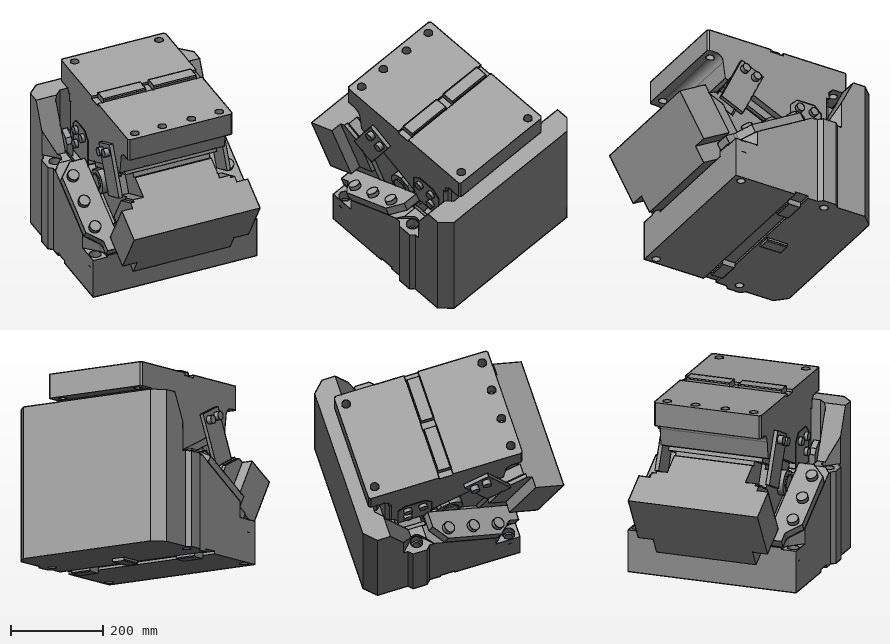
import cadquery as cq
import math


SIDES = (-1, 1)

base_length = 351.0
base_height = 336.0
base_half_width = 196.0
base_corner_chamfer = 25.0
back_wall_thickness = 55.0
shelf_start = 110.5
shelf_height = 220.5
ramp_start = 141.5
ramp_angle = 30

heel_pocket_start = 40.0
heel_pocket_end = 150.5
heel_pocket_half_width = 151.0
heel_pocket_corner = 19.0
heel_floor_height = 225.8
heel_block_end = 69.5
heel_block_half_width = 85.0
heel_block_corner = 10.5

rail_start = 94.5
rail_inner_y = 138.2
pad_start = 65.5
pad_bevel_start = 85.5
pad_end = 93.0
pad_bevel_drop = 12.5
pad_inner_y = 125.5
pad_outer_y = 139.5
pad_top = 251.5

channel_half_width = 128.5
channel_depth = 12.0

bolt_hole_radius = 9.5
bolt_bore_radius = 13.0
bolt_bore_depth = 28.0
lug_hole_x = 119.5
lug_hole_y = 180.5
lug_width = 50.0
lug_tip_width = 31.5
overall_width = 410.0
lug_reach = overall_width / 2 - base_half_width
lug_height = 212.0
lug_spot_radius = 14.0
rear_hole_x = 329.5
rear_hole_y = 181.5
rear_pocket_start = 296.0
rear_pocket_floor = 96.0
rear_pocket_inner_y = 162.0
rear_pocket_fillet = 18.5

gib_start = 12.5
gib_length = 226.5
gib_thickness = 18.5
gib_inner_y = channel_half_width
gib_outer_y = 195.0
gib_tail_y = 165.0
gib_tail_length = 24.5
gib_tail_fillet = 8.0
gib_bolt_radius = 12.5
gib_bolt_height = 10.0
gib_bolt_y = 172.0
gib_first_bolt = 36.0
gib_bolt_pitch = 65.0
gib_bolt_count = 3

key_width = 31.5
key_reach = 7.5
key_depth = 6.0
key_chamfer = 2.5
base_key_length = 50.0
base_cross_key_x = 185.3
base_cross_key_y = 140.5
base_long_key_x = 139.5
top_key_x = 205.5
top_key_y = 60.5
top_key_length = 101.0

slider_end = 288.0
slider_top = 149.0
slider_apex_s = 144.8
joint_angle = 25
slider_half_width = 109.5
rib_half_width = 116.0
shoulder_half_width = 124.7
rib_start = 164.0
rib_bevel_length = 6.0
shoulder_bottom = 29.0
shoulder_depth = 45.5
head_start = 214.0
head_half_width = 151.0
ledge_depth = 41.0
ledge_inner_y = 91.0
ledge_start = -56.0
ledge_length = 139.5
boss_x = 215.0
boss_z = 200.5
boss_radius = 28.5
boss_height = 14.5
hexagon_diameter = 38.0
hexagon_height = 3.3

pad_joint_start = -177.0
pad_joint_end = -7.0
slider_pad_half_width = 100.5
slider_pad_thickness = 10.2
holder_gap = 19.0
holder_pad_top = 30.0

holder_start = 29.0
holder_end = 380.0
holder_top = 407.5
flange_bottom = 354.0
holder_width = 250.0
holder_half_width = holder_width / 2
holder_corner_chamfer = 3.95
neck_start = 74.5
neck_chamfer = 10.2
neck_notch_x = 80.0
neck_notch_z = 327.0
heel_plate_half_width = 111.5
heel_bottom = 212.5
nose_x = 335.5
arc_end = (341.0, 335.0)
arc_middle = (347.0, 348.5)
arc_start_x = 360.5

mount_hole_radius = 9.5
mount_left_x = 49.5
mount_right_x = 360.5
mount_outer_y = 101.0
mount_inner_y = 35.0
mount_blind_depth = 37.2

side_plate_start = 94.5
side_plate_end = 171.8
side_plate_top = 297.5
side_plate_chamfer = 16.8
side_plate_thickness = 1.5
side_bolt_x = 116.0
side_bolt_z = 241.5
side_bolt_pitch = 35.0
side_bolt_end_y = 134.5
small_bolt_radius = 9.5

hook_x = 297.5
hook_z = 282.0
hook_width = 60.0
hook_length = 120.0
hook_outer_y = 133.5
hook_bolt_spacing = 30.0
hook_bolt_offset = 42.5
hook_bolt_height = 11.5

shoulder_start = rib_start + rib_bevel_length
ramp_sine = math.sin(math.radians(ramp_angle))
ramp_cosine = math.cos(math.radians(ramp_angle))
ramp_slope = math.tan(math.radians(ramp_angle))
joint_slope = math.tan(math.radians(joint_angle))
joint_cosine = math.cos(math.radians(joint_angle))
joint_sine = math.sin(math.radians(joint_angle))
apex_x = ramp_start + slider_apex_s * ramp_cosine + slider_top * ramp_sine
apex_z = shelf_height - slider_apex_s * ramp_sine + slider_top * ramp_cosine
ramp_end_height = shelf_height - (base_length - ramp_start) * ramp_slope

ramp_direction = cq.Vector(ramp_cosine, 0, -ramp_sine)
ramp_normal = cq.Vector(ramp_sine, 0, ramp_cosine)
toward_minus_y = cq.Vector(0, -1, 0)
ramp_origin = cq.Vector(ramp_start, 0, shelf_height)
joint_origin = cq.Vector(apex_x, 0, apex_z)
joint_direction = cq.Vector(joint_cosine, 0, joint_sine)

ramp_plan = cq.Plane(ramp_origin, ramp_direction, ramp_normal)
ramp_section = cq.Plane(ramp_origin, ramp_direction, toward_minus_y)
joint_section = cq.Plane(joint_origin, joint_direction, toward_minus_y)


def block(x, y, z):
    """Box between the two limits given for each axis."""
    size = (x[1] - x[0], y[1] - y[0], z[1] - z[0])
    return cq.Workplane("XY").box(*size, centered=False).translate((x[0], y[0], z[0]))


def wide_section(plane, points, half_width):
    """Closed outline of an upright section, extruded evenly to both sides."""
    return cq.Workplane(plane).polyline(points).close().extrude(half_width, both=True)


def both_sides(shape):
    """The shape together with its mirror image across the XZ plane."""
    return shape.union(shape.mirror("XZ"))


def fillet_edge_at(shape, point, radius):
    """The shape with its edge nearest to the point rounded."""
    return shape.edges(cq.selectors.NearestToPointSelector(point.toTuple())).fillet(radius)


def side_cylinder(x, z, radius, y_start, y_end):
    """Cylinder along +Y at (x, z)."""
    start = cq.Workplane("XZ", origin=(x, y_start, z))
    return start.circle(radius).extrude(y_start - y_end)


def holder_bottom(x):
    """Height of the holder's inclined underside at x."""
    return apex_z + (x - apex_x) * joint_slope + holder_gap / joint_cosine



def base_body():
    outline = [
        (0, 0),
        (base_length, 0),
        (base_length, ramp_end_height),
        (ramp_start, shelf_height),
        (shelf_start, shelf_height),
        (back_wall_thickness, base_height),
        (0, base_height),
    ]
    body = wide_section("XZ", outline, base_half_width)
    return body.edges("|Z and <X").chamfer(base_corner_chamfer)


def heel_pocket():
    """Deep pocket behind the guide."""
    floor_drop = (heel_pocket_end - heel_pocket_start) * ramp_slope
    outline = [
        (heel_pocket_start, heel_floor_height),
        (heel_pocket_end, heel_floor_height - floor_drop),
        (heel_pocket_end, base_height),
        (heel_pocket_start, base_height),
    ]
    pocket = wide_section("XZ", outline, heel_pocket_half_width)
    return pocket.edges("|Z and <X").chamfer(heel_pocket_corner)


def heel_block():
    """Upright block in the middle of the pocket that backs the holder's heel plate."""
    width = (-heel_block_half_width, heel_block_half_width)
    upright = block((0, heel_block_end), width, (0, base_height))
    return upright.edges("|Z and >X").chamfer(heel_block_corner)


def heel_rails():
    """Chamfered rails along the pocket walls beside the guide entry."""
    lead = heel_pocket_half_width - rail_inner_y
    rail = (
        cq.Workplane("YZ", origin=(rail_start, 0, 0))
        .moveTo(heel_pocket_half_width, shelf_height)
        .lineTo(rail_inner_y, shelf_height - lead)
        .lineTo(rail_inner_y, 0)
        .lineTo(heel_pocket_half_width, 0)
        .close()
        .extrude(heel_pocket_end - rail_start)
    )
    return both_sides(rail)


def stop_pads():
    """Small pads beside the neck, with tops parallel to the ramp and a bevelled edge."""
    bevel_top = pad_top - (pad_bevel_start - pad_start) * ramp_slope
    outline = [
        (pad_start, 0),
        (pad_start, pad_top),
        (pad_bevel_start, bevel_top),
        (pad_end, bevel_top - pad_bevel_drop),
        (pad_end, 0),
    ]
    start = cq.Workplane("XZ", origin=(0, pad_inner_y, 0))
    return both_sides(start.polyline(outline).close().extrude(pad_inner_y - pad_outer_y))


def guide_channel():
    along = [(0, -channel_depth), (slider_end, -channel_depth), (slider_end, slider_top), (0, slider_top)]
    return wide_section(ramp_section, along, channel_half_width)


def lugs():
    rise = base_half_width + lug_reach
    lug = (
        cq.Workplane("XY")
        .moveTo(lug_hole_x - lug_width / 2, base_half_width)
        .lineTo(lug_hole_x - lug_tip_width / 2, rise)
        .lineTo(lug_hole_x + lug_tip_width / 2, rise)
        .lineTo(lug_hole_x + lug_width / 2, base_half_width)
        .lineTo(lug_hole_x + lug_width / 2, lug_hole_y)
        .lineTo(lug_hole_x - lug_width / 2, lug_hole_y)
        .close()
        .extrude(lug_height)
    )
    return both_sides(lug)


def lug_pockets():
    """V-shaped pockets above the lugs, tangent to a round spot face."""
    tangent = lug_spot_radius / math.sqrt(2)
    mouth_y = base_half_width + lug_reach
    mouth = lug_spot_radius * math.sqrt(2) + mouth_y - lug_hole_y
    height = base_height - lug_height
    plane = cq.Workplane("XY", origin=(lug_hole_x, 0, lug_height))
    corners = [
        (-mouth, mouth_y),
        (-tangent, lug_hole_y - tangent),
        (tangent, lug_hole_y - tangent),
        (mouth, mouth_y),
    ]
    vee = plane.polyline(corners).close().extrude(height)
    spot = plane.center(0, lug_hole_y).circle(lug_spot_radius).extrude(height)
    return both_sides(vee.union(spot))


def rear_pockets():
    depth = base_half_width - rear_pocket_inner_y
    outline = [
        (rear_pocket_start, base_half_width),
        (rear_pocket_start + depth, rear_pocket_inner_y),
        (base_length, rear_pocket_inner_y),
        (base_length, base_half_width),
    ]
    plane = cq.Workplane("XY", origin=(0, 0, rear_pocket_floor))
    pocket = plane.polyline(outline).close().extrude(base_height)
    corner = cq.Vector(rear_pocket_start + depth, rear_pocket_inner_y, rear_pocket_floor + base_height / 2)
    return both_sides(fillet_edge_at(pocket, corner, rear_pocket_fillet))


def hold_down_hole(x, y, seat_height):
    """Counterbored through hole, on both sides."""
    hole = cq.Workplane("XY").center(x, y).circle(bolt_hole_radius).extrude(seat_height)
    bore = (
        cq.Workplane("XY", origin=(x, y, seat_height - bolt_bore_depth))
        .circle(bolt_bore_radius)
        .extrude(bolt_bore_depth)
    )
    return both_sides(hole.union(bore))


def gibs():
    """Retaining plates on the ramp, each with its row of bolt heads."""
    corner = gib_outer_y - gib_tail_y
    end = gib_start + gib_length
    outline = [
        (gib_start, gib_inner_y),
        (gib_start, gib_tail_y),
        (gib_start + corner, gib_outer_y),
        (end - gib_tail_length - corner, gib_outer_y),
        (end - gib_tail_length, gib_tail_y),
        (end, gib_tail_y),
        (end, gib_inner_y),
    ]
    gib = cq.Workplane(ramp_plan).polyline(outline).close().extrude(gib_thickness)
    tail_corner = ramp_plan.toWorldCoords((end - gib_tail_length, gib_tail_y, gib_thickness / 2))
    gib = fillet_edge_at(gib, tail_corner, gib_tail_fillet)
    stations = [gib_start + gib_first_bolt + i * gib_bolt_pitch for i in range(gib_bolt_count)]
    heads = (
        cq.Workplane(ramp_plan)
        .pushPoints([(s, gib_bolt_y) for s in stations])
        .circle(gib_bolt_radius)
        .extrude(gib_thickness + gib_bolt_height)
    )
    return both_sides(gib.union(heads))


def key(length):
    """Key along Y, centred on the origin, with its chamfered face upward at key_reach."""
    height = key_reach + key_depth
    bar = cq.Workplane("XY", origin=(0, 0, -key_depth))
    bar = bar.box(key_width, length, height, centered=(True, True, False))
    return bar.faces(">Z").edges("|Y").chamfer(key_chamfer)


def base_keys():
    lower_key = key(base_key_length).rotate((0, 0, 0), (0, 1, 0), 180)
    keys = lower_key.rotate((0, 0, 0), (0, 0, 1), 90).translate((base_long_key_x, 0, 0))
    for side in SIDES:
        keys = keys.union(lower_key.translate((base_cross_key_x, side * base_cross_key_y, 0)))
    return keys


def make_base():
    body = base_body().cut(heel_pocket())
    pocket_fill = heel_block().union(heel_rails()).union(stop_pads())
    body = body.union(pocket_fill).cut(guide_channel())
    body = body.union(lugs()).cut(lug_pockets()).cut(rear_pockets())
    body = body.cut(hold_down_hole(lug_hole_x, lug_hole_y, lug_height))
    body = body.cut(hold_down_hole(rear_hole_x, rear_hole_y, rear_pocket_floor))
    half_key = key_width / 2
    slot_x = (base_cross_key_x - half_key, base_cross_key_x + half_key)
    body = body.cut(block(slot_x, (-base_half_width, base_half_width), (0, key_depth)))
    return body.union(base_keys()).union(gibs())



def slider_core():
    """Wedge between the guide channel and the inclined joint."""
    wedge_angle = math.radians(ramp_angle + joint_angle)
    tip_s = slider_apex_s - (slider_top + channel_depth) / math.tan(wedge_angle)
    outline = [
        (tip_s, -channel_depth),
        (slider_end, -channel_depth),
        (slider_end, slider_top),
        (slider_apex_s, slider_top),
    ]
    return wide_section(ramp_section, outline, slider_half_width)


def slider_block(start, bottom, half_width):
    """Block of the slider from a station on the ramp to the slider's end."""
    outline = [(start, bottom), (slider_end, bottom), (slider_end, slider_top), (start, slider_top)]
    return wide_section(ramp_section, outline, half_width)


def slider_ribs():
    """Slightly wider part behind the hooks, with a bevelled leading edge."""
    plan = [
        (rib_start, 0),
        (rib_start, slider_half_width),
        (rib_start + rib_bevel_length, rib_half_width),
        (slider_end, rib_half_width),
        (slider_end, 0),
    ]
    height = slider_top + channel_depth
    foot = cq.Workplane(ramp_plan).workplane(offset=-channel_depth)
    return both_sides(foot.polyline(plan).close().extrude(height))


def above_joint_level(depth, half_width):
    """Space above a level lying at the given depth below the slider's inclined face."""
    end = ledge_start + ledge_length
    corners = [(ledge_start, -depth), (end, -depth), (end, slider_top), (ledge_start, slider_top)]
    return wide_section(joint_section, corners, half_width)


def hook_ledges():
    """Side ledges under the hooks, parallel to the joint and clear of the slider's middle."""
    space = above_joint_level(ledge_depth, head_half_width)
    return space.cut(above_joint_level(ledge_depth, ledge_inner_y))


def joint_pad(low, high, half_width):
    """Flat pad along the inclined joint between two distances from the slider's face."""
    corners = [(pad_joint_start, low), (pad_joint_end, low), (pad_joint_end, high), (pad_joint_start, high)]
    return wide_section(joint_section, corners, half_width)


def slider_bosses():
    boss_end = slider_half_width + boss_height
    boss = side_cylinder(boss_x, boss_z, boss_radius, slider_half_width, boss_end)
    hexagon = cq.Workplane("XZ", origin=(boss_x, boss_end, boss_z))
    hexagon = hexagon.polygon(6, hexagon_diameter).extrude(-hexagon_height)
    return both_sides(boss.union(hexagon))


def make_slider():
    pad = joint_pad(0, slider_pad_thickness, slider_pad_half_width)
    ribs = slider_ribs().cut(above_joint_level(0, head_half_width))
    body = slider_core().union(pad).union(ribs).cut(hook_ledges())
    shoulder = slider_block(shoulder_start, shoulder_bottom, shoulder_half_width)
    shoulder = shoulder.cut(above_joint_level(shoulder_depth, head_half_width))
    head = slider_block(head_start, shoulder_bottom, head_half_width)
    bosses = slider_bosses().intersect(guide_channel())
    bosses = bosses.cut(joint_pad(slider_pad_thickness, holder_pad_top, holder_half_width))
    return body.union(shoulder).union(head).union(bosses)



def holder_body():
    heel_top_end = apex_x + (heel_bottom - holder_bottom(apex_x)) / joint_slope
    profile = (
        cq.Workplane("XZ")
        .moveTo(holder_start, holder_top)
        .lineTo(holder_start, flange_bottom)
        .lineTo(neck_start - neck_chamfer, flange_bottom)
        .lineTo(neck_start, flange_bottom - neck_chamfer)
        .lineTo(neck_start, neck_notch_z)
        .lineTo(neck_notch_x, neck_notch_z)
        .lineTo(neck_notch_x, heel_bottom)
        .lineTo(heel_top_end, heel_bottom)
        .lineTo(nose_x, holder_bottom(nose_x))
        .lineTo(*arc_end)
        .threePointArc(arc_middle, (arc_start_x, flange_bottom))
        .lineTo(holder_end, flange_bottom)
        .lineTo(holder_end, holder_top)
        .close()
    )
    body = profile.extrude(holder_half_width, both=True)
    corners = body.edges("|Z and (<X or >X)")
    return corners.chamfer(holder_corner_chamfer)


def heel_plate():
    """Wear plate on the back of the neck, facing the base's heel block."""
    width = (-heel_plate_half_width, heel_plate_half_width)
    return block((heel_block_end, neck_notch_x), width, (heel_bottom, neck_notch_z))


def joint_side_reliefs():
    """Side steps that expose the pressure pad below the neck."""
    whole = joint_pad(0, holder_pad_top, holder_half_width)
    return whole.cut(joint_pad(0, holder_pad_top, slider_half_width))


def mount_holes():
    """Through holes in the four corners and two blind holes between the right pair."""
    corners = [(x, side * mount_outer_y) for x in (mount_left_x, mount_right_x) for side in SIDES]
    inner = [(mount_right_x, side * mount_inner_y) for side in SIDES]
    through_depth = holder_top - arc_end[1]
    top = cq.Workplane("XY", origin=(0, 0, holder_top))
    through = top.pushPoints(corners).circle(mount_hole_radius).extrude(-through_depth)
    blind = top.pushPoints(inner).circle(mount_hole_radius).extrude(-mount_blind_depth)
    return through.union(blind)


def side_plates():
    """Thin plates on the neck's flanks, each held by three bolts."""
    depth = (holder_half_width, holder_half_width + side_plate_thickness)
    plate = block((side_plate_start, side_plate_end), depth, (heel_bottom, side_plate_top))
    plate = plate.faces(">Z").edges("|Y").chamfer(side_plate_chamfer)
    for column, row in ((0, 0), (0, 1), (1, 1)):
        x = side_bolt_x + column * side_bolt_pitch
        z = side_bolt_z + row * side_bolt_pitch
        bolt = side_cylinder(x, z, small_bolt_radius, holder_half_width, side_bolt_end_y)
        plate = plate.union(bolt)
    return both_sides(plate)


def hooks():
    """Return hooks on the neck's flanks, square to the joint, each with two bolts."""
    centre = cq.Vector(hook_x, holder_half_width, hook_z)
    plane = cq.Plane(centre, joint_direction, toward_minus_y)
    thickness = hook_outer_y - holder_half_width
    half_spacing = hook_bolt_spacing / 2
    hook = cq.Workplane(plane).rect(hook_width, hook_length).extrude(-thickness)
    bolts = (
        cq.Workplane(plane)
        .pushPoints([(side * half_spacing, hook_bolt_offset) for side in SIDES])
        .circle(small_bolt_radius)
        .extrude(-thickness - hook_bolt_height)
    )
    return both_sides(hook.union(bolts))


def make_holder():
    holder = holder_body().cut(joint_side_reliefs())
    holder = holder.union(joint_pad(slider_pad_thickness, holder_pad_top, slider_half_width))
    holder = holder.union(heel_plate()).cut(mount_holes())
    slot_x = (top_key_x - key_width / 2, top_key_x + key_width / 2)
    slot_y = (-holder_half_width, holder_half_width)
    holder = holder.cut(block(slot_x, slot_y, (holder_top - key_depth, holder_top)))
    for side in SIDES:
        holder = holder.union(key(top_key_length).translate((top_key_x, side * top_key_y, holder_top)))
    return holder.union(side_plates()).union(hooks())


base = make_base()
slider = make_slider()
holder = make_holder()

result = cq.Compound.makeCompound([base.solids().val(), slider.solids().val(), holder.solids().val()])